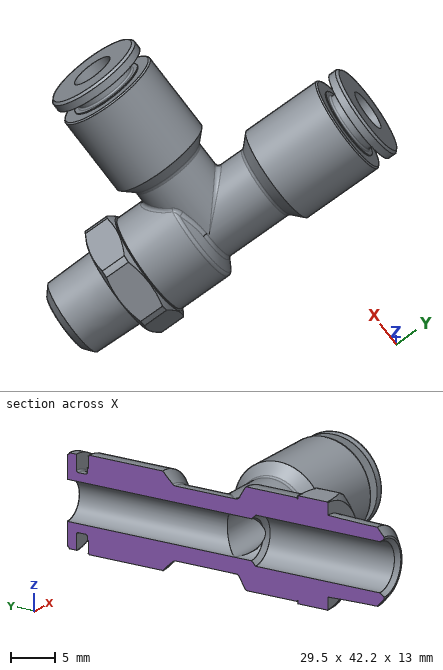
import cadquery as cq
import math

overall_length = 42.2

port_end = 22.2
port_neck_radius = 4.5
sleeve_radius = 6.0
sleeve_start = 9.5
sleeve_end = 19.45
sleeve_edge_chamfer = 0.15
cone_start = sleeve_start - (sleeve_radius - port_neck_radius)
rim_radius = 4.4
rim_height = 0.13
release_neck_radius = 3.65
flange_radius = 5.8
flange_thickness = 1.22
flange_chamfer = 0.3

body_radius = 6.25
body_cone_small_end = 0.5
body_cone_large_end = 1.5
body_edge_chamfer = 0.13

hex_flats = 13.0
hex_corner_radius = 7.25
hex_face_radius = 6.4
hex_start = 8.45
hex_end = 12.5
hex_chamfer_height = (hex_corner_radius - hex_face_radius) * math.tan(math.radians(30))

thread_end = overall_length - port_end
thread_root_radius = 4.95
thread_tip_radius = 4.75
thread_chamfer_length = 0.93
thread_face_radius = 3.7

passage_radius = 2.5
inlet_radius = 3.05
inlet_cone_start = 2.85
inlet_cone_end = inlet_cone_start - (inlet_radius - passage_radius)
inlet_mouth_radius = 3.45
inlet_chamfer_length = 0.6

body_fillet = 0.5
release_neck_fillet = 0.2


def turned(profile):
    """Solid of revolution about Y from (radius, y) points; the axis closes the outline."""
    first_y = profile[0][1]
    last_y = profile[-1][1]
    outline = [(0, first_y)] + profile + [(0, last_y)]
    return cq.Workplane("XY").polyline(outline).close().revolve(360, (0, 0, 0), (0, 1, 0))


def along_branch(solid):
    """Turn a solid from the +Y direction to the +X direction."""
    return solid.rotate((0, 0, 0), (0, 0, 1), -90)


def port():
    """Neck, sleeve and release collar, from the crossing to the outer end."""
    flange_start = port_end - flange_thickness
    rim_top = sleeve_end + rim_height
    solid = turned([
        (port_neck_radius, 0),
        (port_neck_radius, cone_start),
        (sleeve_radius, sleeve_start),
        (sleeve_radius, sleeve_end - sleeve_edge_chamfer),
        (sleeve_radius - sleeve_edge_chamfer, sleeve_end),
        (rim_radius, sleeve_end),
        (rim_radius, rim_top),
        (release_neck_radius, rim_top),
        (release_neck_radius, flange_start),
        (flange_radius, flange_start),
        (flange_radius, port_end - flange_chamfer),
        (flange_radius - flange_chamfer, port_end),
    ])
    release_neck_edges = cq.selectors.RadiusNthSelector(0)
    return solid.edges(release_neck_edges).fillet(release_neck_fillet)


def shoulder():
    """Round body that carries the hexagon, coned down to the neck."""
    return turned([
        (body_radius - body_edge_chamfer, -hex_start),
        (body_radius, -hex_start + body_edge_chamfer),
        (body_radius, -body_cone_large_end),
        (port_neck_radius, -body_cone_small_end),
        (port_neck_radius, 0),
    ])


def moulded_body():
    """Both ports and the shoulder, rounded where they meet and at the foot of each cone."""
    body = shoulder().union(port()).union(along_branch(port()))
    reach = (cone_start + sleeve_start) / 2
    crossing = cq.selectors.BoxSelector((-reach, -port_neck_radius, -reach), (reach, reach, reach))
    return body.edges(crossing).edges("not %LINE").fillet(body_fillet)


def hexagon():
    """Hexagon with trimmed corners and 30 degree chamfers on both faces."""
    across_corners = hex_flats / math.cos(math.radians(30))
    prism = (
        cq.Workplane("XZ", origin=(0, -hex_start, 0))
        .polygon(6, across_corners)
        .extrude(hex_end - hex_start)
    )
    envelope = turned([
        (hex_face_radius, -hex_end),
        (hex_corner_radius, -hex_end + hex_chamfer_height),
        (hex_corner_radius, -hex_start - hex_chamfer_height),
        (hex_face_radius, -hex_start),
    ])
    return prism.intersect(envelope)


def threaded_end():
    """Tapered spigot below the hexagon, chamfered at its tip."""
    return turned([
        (thread_face_radius, -thread_end),
        (thread_tip_radius, -thread_end + thread_chamfer_length),
        (thread_root_radius, -hex_end),
    ])


def bores():
    """Through passage with its wider inlet, and the passage of the branch."""
    run = turned([
        (inlet_mouth_radius, -thread_end),
        (inlet_radius, -thread_end + inlet_chamfer_length),
        (inlet_radius, -inlet_cone_start),
        (passage_radius, -inlet_cone_end),
        (passage_radius, port_end),
    ])
    branch = along_branch(turned([(passage_radius, 0), (passage_radius, port_end)]))
    return run.union(branch)


result = moulded_body().union(hexagon()).union(threaded_end()).cut(bores())